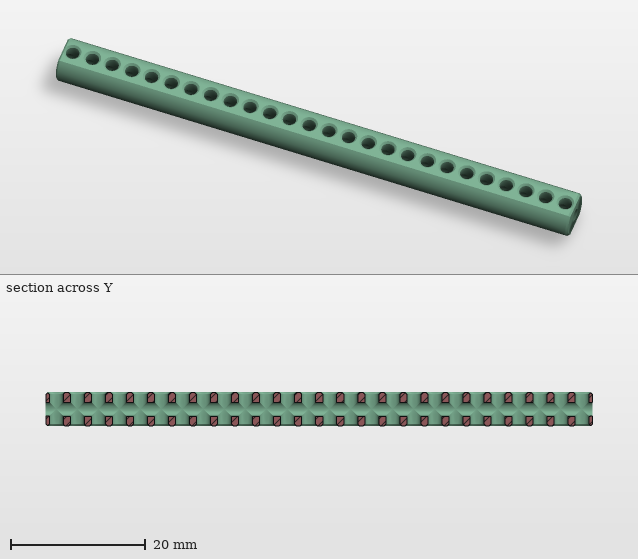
import cadquery as cq
import math

HOLE_COUNT = 26
HOLE_PITCH = 3.125
BAR_LENGTH = HOLE_COUNT * HOLE_PITCH
ROD_DIAMETER = 6.6
FLAT_TO_FLAT = 5.0
END_CHAMFER = 0.3

CROSS_HOLE_DIAMETER = 2.0
COUNTERSINK_DIAMETER = 2.6
COUNTERSINK_ANGLE = 90.0
AXIAL_BORE_DIAMETER = 2.0


def make_bar():
    """Rod cut to two parallel flats, with both end outlines chamfered."""
    rod = cq.Workplane("YZ").circle(ROD_DIAMETER / 2).extrude(BAR_LENGTH / 2, both=True)
    flat_slab = cq.Workplane("XY").box(BAR_LENGTH, ROD_DIAMETER, FLAT_TO_FLAT)
    return rod.intersect(flat_slab).faces("<X or >X").chamfer(END_CHAMFER)


def drill_axial_bore(body):
    """Bore along the full length of the bar."""
    return body.faces("<X").workplane(origin=(0, 0, 0)).hole(AXIAL_BORE_DIAMETER)


def countersink_cone(side):
    """Cone that opens outward onto the top (side = 1) or bottom (side = -1) flat."""
    rim_width = (COUNTERSINK_DIAMETER - CROSS_HOLE_DIAMETER) / 2
    depth = rim_width / math.tan(math.radians(COUNTERSINK_ANGLE / 2))
    return cq.Solid.makeCone(
        COUNTERSINK_DIAMETER / 2,
        CROSS_HOLE_DIAMETER / 2,
        depth,
        pnt=cq.Vector(0, 0, side * FLAT_TO_FLAT / 2),
        dir=cq.Vector(0, 0, -side),
    )


def drill_cross_holes(body):
    """Row of evenly spaced holes through both flats, countersunk on each flat."""
    cutter = (
        cq.Workplane("XY", origin=(0, 0, -FLAT_TO_FLAT / 2))
        .circle(CROSS_HOLE_DIAMETER / 2)
        .extrude(FLAT_TO_FLAT)
        .union(cq.Workplane(countersink_cone(1)))
        .union(cq.Workplane(countersink_cone(-1)))
    )
    first_x = -(BAR_LENGTH - HOLE_PITCH) / 2
    for index in range(HOLE_COUNT):
        body = body.cut(cutter.translate((first_x + index * HOLE_PITCH, 0, 0)))
    return body


result = drill_cross_holes(drill_axial_bore(make_bar()))